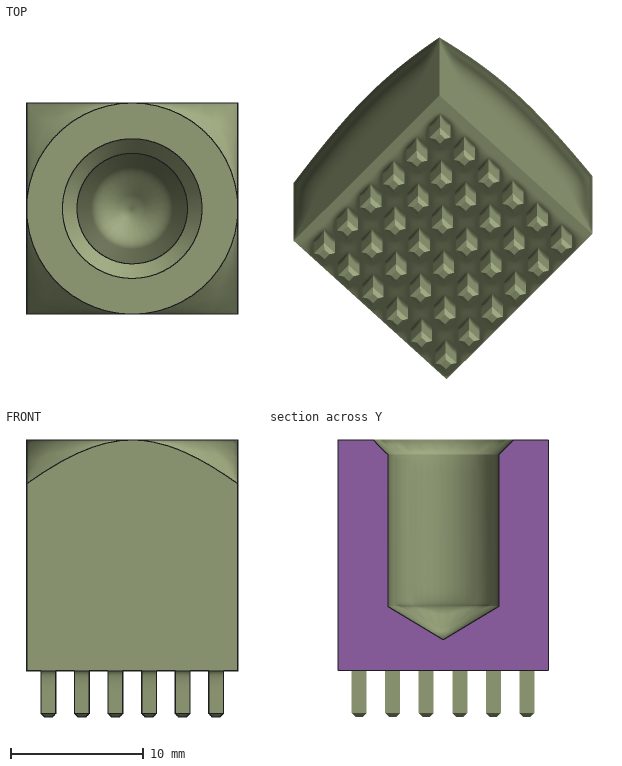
import cadquery as cq
import math

total_height = 21.0
body_width = 16.0
pin_length = 3.5
body_height = total_height - pin_length

crown_diameter = body_width

bore_diameter = 8.38
lead_in_diameter = 10.58
bore_depth = 12.6
drill_point_angle = 118.0

pins_per_side = 6
pin_pitch = 2.55
pin_width = 1.13
pin_bevel = 0.3


def make_body():
    """Square block whose corners are cut back to a cone around the top face."""
    block = (
        cq.Workplane("XY")
        .workplane(offset=pin_length)
        .rect(body_width, body_width)
        .extrude(body_height)
    )
    crown_radius = crown_diameter / 2
    cone_base_radius = crown_radius + body_height
    cone = (
        cq.Workplane("XZ")
        .moveTo(0, pin_length)
        .lineTo(cone_base_radius, pin_length)
        .lineTo(crown_radius, total_height)
        .lineTo(0, total_height)
        .close()
        .revolve(360, (0, 0, 0), (0, 1, 0))
    )
    return block.intersect(cone)


def make_bore():
    """Space of the blind bore, from the lead-in at the top to the drill point."""
    bore_radius = bore_diameter / 2
    lead_in_radius = lead_in_diameter / 2
    lead_in_bottom = total_height - (lead_in_radius - bore_radius)
    bore_bottom = total_height - bore_depth
    point_depth = bore_radius / math.tan(math.radians(drill_point_angle / 2))
    return (
        cq.Workplane("XZ")
        .moveTo(0, total_height)
        .lineTo(lead_in_radius, total_height)
        .lineTo(bore_radius, lead_in_bottom)
        .lineTo(bore_radius, bore_bottom)
        .lineTo(0, bore_bottom - point_depth)
        .close()
        .revolve(360, (0, 0, 0), (0, 1, 0))
    )


def make_pins():
    """Square grid of pins reaching from the body underside down to Z = 0."""
    return (
        cq.Workplane("XY")
        .rarray(pin_pitch, pin_pitch, pins_per_side, pins_per_side)
        .rect(pin_width, pin_width)
        .extrude(pin_length)
        .faces("<Z")
        .chamfer(pin_bevel)
    )


result = make_body().cut(make_bore()).union(make_pins())